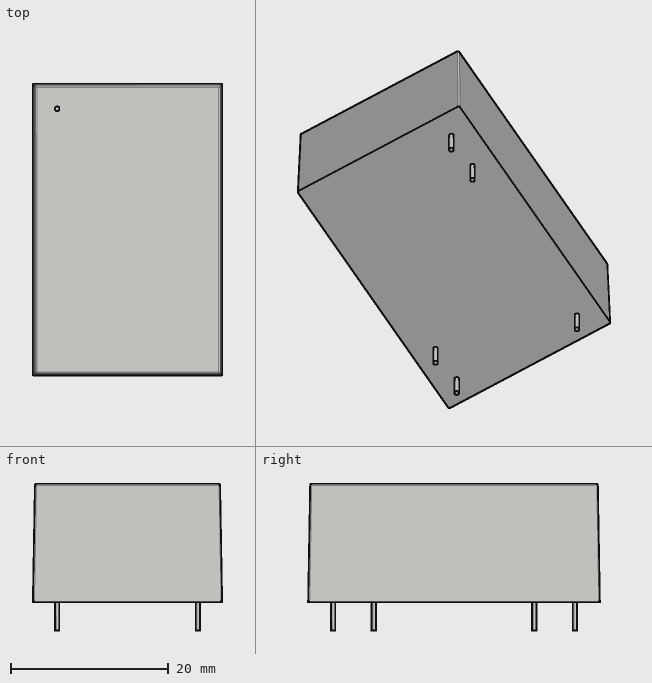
import cadquery as cq

case_width = 24.0
case_length = 37.0
case_height = 15.0
draft_angle = 1.0
corner_radius = 0.2
rim_height = 0.1
top_radius = 0.22

pin_diameter = 0.6
pin_length = 3.6
pin_embed = 0.37
pin_x = 8.9
outer_pin_y = 15.3
inner_pin_y = 10.17
pin_positions = [
    (-pin_x, outer_pin_y),
    (-pin_x, inner_pin_y),
    (-pin_x, -outer_pin_y),
    (pin_x, -outer_pin_y),
    (pin_x, -inner_pin_y),
]

mark_diameter = 0.6
mark_depth = 0.07


def make_case():
    """Upright rim at the bottom with a body above it that narrows upward."""
    body = (
        cq.Workplane("XY")
        .workplane(offset=rim_height)
        .rect(case_width, case_length)
        .extrude(case_height - rim_height, taper=draft_angle)
    )
    rim = cq.Workplane("XY").box(
        case_width, case_length, rim_height, centered=(True, True, False)
    )
    body = body.edges("not(#Z)").fillet(corner_radius)
    body = body.faces(">Z").edges().fillet(top_radius)
    rim = rim.edges("|Z").fillet(corner_radius)
    return rim.union(body)


def make_pins():
    """Round pins that run a little way into the case."""
    return (
        cq.Workplane("XY")
        .workplane(offset=-pin_length)
        .pushPoints(pin_positions)
        .circle(pin_diameter / 2)
        .extrude(pin_length + pin_embed)
    )


def make_mark():
    """Cutter for the recess above the first pin."""
    return (
        cq.Workplane("XY")
        .workplane(offset=case_height - mark_depth)
        .center(*pin_positions[0])
        .circle(mark_diameter / 2)
        .extrude(mark_depth)
    )


result = make_case().union(make_pins()).cut(make_mark())